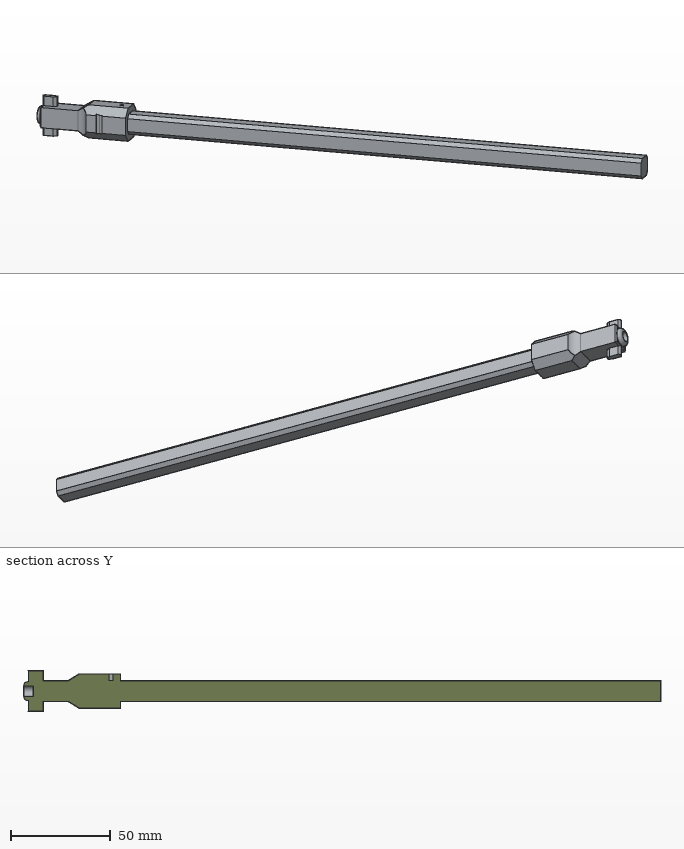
import cadquery as cq

total_length = 320.0
neck_start = 2.2
shoulder_start = 22.5
collar_start = 28.0
collar_end = 48.5

bar_width = 10.5
rod_chamfer = 2.0
neck_front_chamfer = 0.5

collar_width = 17.3
collar_chamfer = 4.0
shoulder_rise = (collar_width - bar_width) / 2
shoulder_run = collar_start - shoulder_start

button_radius = 4.8
button_rounding = 2.0
socket_radius = 2.5
socket_depth = 4.8

fin_height = 20.5
fin_width = 3.0
fin_end = 10.0
fin_front_bulge = 1.0
fin_rear_chamfer = 2.0
fin_rear_width = 1.3

groove_start = 33.0
groove_end = 36.0
groove_ramp_end = 35.0
groove_deep = 0.5
groove_shallow = 0.3
pin_hole_x = 44.0
pin_hole_diameter = 2.0
pin_hole_depth = 3.2


def square_bar(start, end, width):
    """Square bar centred on the X axis."""
    return cq.Workplane("YZ").workplane(offset=start).rect(width, width).extrude(end - start)


def make_collar():
    """Octagonal collar whose shoulder is flat above and below and coved on the Y sides."""
    half_bar = bar_width / 2
    half_collar = collar_width / 2
    octagon = square_bar(shoulder_start, collar_end, collar_width).edges("|X").chamfer(collar_chamfer)

    taper = (
        cq.Workplane("XZ")
        .polyline([
            (shoulder_start, -half_bar),
            (collar_start, -half_collar),
            (collar_end, -half_collar),
            (collar_end, half_collar),
            (collar_start, half_collar),
            (shoulder_start, half_bar),
        ])
        .close()
        .extrude(half_collar, both=True)
    )

    cove_radius = (shoulder_run**2 + shoulder_rise**2) / (2 * shoulder_rise)
    coves = (
        cq.Workplane("XY")
        .moveTo(shoulder_start, -half_bar)
        .radiusArc((collar_start, -half_collar), cove_radius)
        .lineTo(collar_end, -half_collar)
        .lineTo(collar_end, half_collar)
        .lineTo(collar_start, half_collar)
        .radiusArc((shoulder_start, half_bar), cove_radius)
        .close()
        .extrude(half_collar, both=True)
    )
    return octagon.intersect(taper).intersect(coves)


def make_fin():
    """Upright key with a rounded front edge and a chamfered rear edge."""
    half_width = fin_width / 2
    half_rear = fin_rear_width / 2
    front_shoulder = neck_start + fin_front_bulge
    rear_shoulder = fin_end - fin_rear_chamfer
    return (
        cq.Workplane("XY")
        .moveTo(front_shoulder, -half_width)
        .lineTo(rear_shoulder, -half_width)
        .lineTo(fin_end, -half_rear)
        .lineTo(fin_end, half_rear)
        .lineTo(rear_shoulder, half_width)
        .lineTo(front_shoulder, half_width)
        .threePointArc((neck_start, 0), (front_shoulder, -half_width))
        .close()
        .extrude(fin_height / 2, both=True)
    )


def make_button():
    """Round tip with a rounded rim."""
    button = cq.Workplane("YZ").circle(button_radius).extrude(neck_start)
    return button.faces("<X").fillet(button_rounding)


def make_groove():
    """Cutter for the -Y groove, whose floor ramps up toward +X and then runs level."""
    face_y = -collar_width / 2
    return (
        cq.Workplane("XY")
        .polyline([
            (groove_start, face_y),
            (groove_start, face_y + groove_deep),
            (groove_ramp_end, face_y + groove_shallow),
            (groove_end, face_y + groove_shallow),
            (groove_end, face_y),
        ])
        .close()
        .extrude(collar_width / 2, both=True)
    )


def make_pin_hole():
    """Cutter for the small blind hole in the top of the collar."""
    return (
        cq.Workplane("XY")
        .workplane(offset=collar_width / 2 - pin_hole_depth)
        .center(pin_hole_x, 0)
        .circle(pin_hole_diameter / 2)
        .extrude(pin_hole_depth)
    )


rod = square_bar(collar_end, total_length, bar_width).edges("|X").chamfer(rod_chamfer)
neck = square_bar(neck_start, shoulder_start, bar_width).faces("<X").chamfer(neck_front_chamfer)
socket = cq.Workplane("YZ").circle(socket_radius).extrude(socket_depth)

result = (
    neck.union(make_collar())
    .union(rod)
    .union(make_fin())
    .union(make_button())
    .cut(socket)
    .cut(make_groove())
    .cut(make_pin_hole())
)